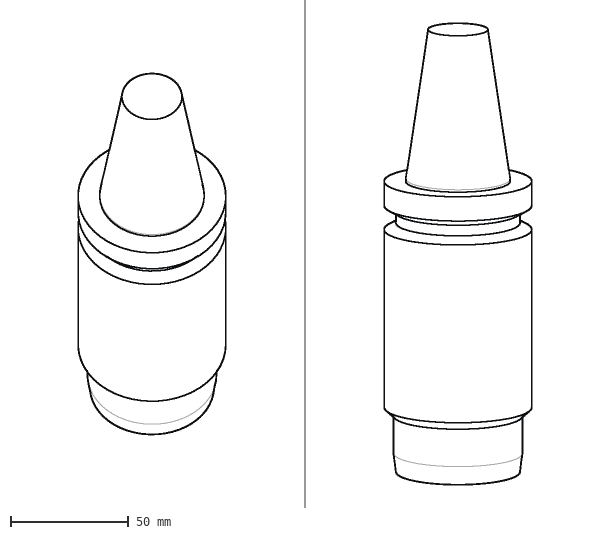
import cadquery as cq

total_length = 192.4
gauge_diameter = 44.5
taper_length = 64.8
taper_ratio = 7 / 24
collar_length = 1.2

body_diameter = 63.0
groove_diameter = 53.0
upper_rim_height = 10.5
groove_wall_height = 2.9
groove_floor_height = 4.6
lower_rim_height = 5.2

neck_diameter = 55.0
nose_diameter = 53.0
nose_height = 8.3
neck_top = 24.5
shoulder_height = 3.7

gauge_radius = gauge_diameter / 2
taper_tip_radius = gauge_radius - taper_length * taper_ratio / 2
body_radius = body_diameter / 2
groove_radius = groove_diameter / 2
neck_radius = neck_diameter / 2
nose_radius = nose_diameter / 2

gauge_z = total_length - taper_length
flange_top = gauge_z - collar_length
upper_rim_bottom = flange_top - upper_rim_height
groove_top = upper_rim_bottom - groove_wall_height
groove_bottom = groove_top - groove_floor_height
lower_rim_top = groove_bottom - groove_wall_height
flange_bottom = lower_rim_top - lower_rim_height
body_bottom = neck_top + shoulder_height

half_section = [
    (0, 0),
    (nose_radius, 0),
    (neck_radius, nose_height),
    (neck_radius, neck_top),
    (body_radius, body_bottom),
    (body_radius, flange_bottom),
    (body_radius, lower_rim_top),
    (groove_radius, groove_bottom),
    (groove_radius, groove_top),
    (body_radius, upper_rim_bottom),
    (body_radius, flange_top),
    (gauge_radius, flange_top),
    (gauge_radius, gauge_z),
    (taper_tip_radius, total_length),
    (0, total_length),
]

result = cq.Workplane("XZ").polyline(half_section).close().revolve(360, (0, 0), (0, 1))